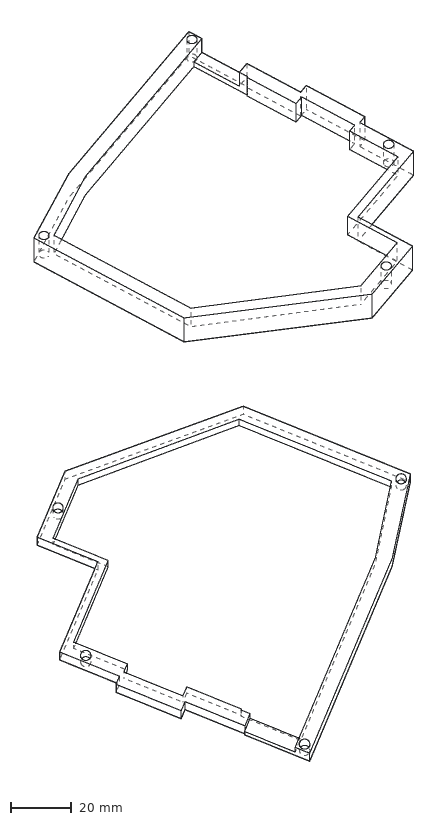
import cadquery as cq

length = 110.61
depth = 102.36
height = 13.0

floor_thickness = 3.0

front_left_x = 5.3
front_right_x = 64.8
left_bend_y = 28.5
right_bend_y = 42.6
corner_step_x = 89.0
corner_step_y = 66.6
back_y = 99.4
back_recess = 0.35
recessed_back_y = back_y - back_recess
bump_left_x = 44.5
bump_right_x = 67.7

side_wall = 5.2
back_wall = 4.8
front_wall = 4.6
right_wall = 5.0
step_side_wall = 3.0
step_back_wall = 1.7

cavity_front_left_x = 10.2
cavity_front_right_x = 64.4
cavity_left_bend_y = 30.5
cavity_right_bend_y = 43.4
cavity_recess_x = 26.4
cavity_bump_left_x = 45.9
cavity_bump_right_x = 66.9

notch_right_x = 23.2
sill_height = 5.5

hole_diameter = 3.4
hole_centers = [
    (2.7, 97.2),
    (80.6, 97.2),
    (108.0, 54.9),
    (7.5, 2.7),
]


def make_body():
    """Solid block; the back edge steps in beyond the notch and out again at the bump."""
    outline = [
        (0, left_bend_y),
        (front_left_x, 0),
        (front_right_x, 0),
        (length, right_bend_y),
        (length, corner_step_y),
        (corner_step_x, corner_step_y),
        (corner_step_x, back_y),
        (bump_right_x, back_y),
        (bump_right_x, depth),
        (bump_left_x, depth),
        (bump_left_x, recessed_back_y),
        (notch_right_x, recessed_back_y),
        (notch_right_x, back_y),
        (0, back_y),
    ]
    return cq.Workplane("XY").polyline(outline).close().extrude(height)


def make_cavity():
    """Open-topped interior that follows the outer outline above the floor."""
    cavity_right_x = length - right_wall
    cavity_step_x = corner_step_x - step_side_wall
    cavity_step_y = corner_step_y - step_back_wall
    cavity_back_y = back_y - back_wall
    outline = [
        (side_wall, cavity_left_bend_y),
        (cavity_front_left_x, front_wall),
        (cavity_front_right_x, front_wall),
        (cavity_right_x, cavity_right_bend_y),
        (cavity_right_x, cavity_step_y),
        (cavity_step_x, cavity_step_y),
        (cavity_step_x, cavity_back_y),
        (cavity_bump_right_x, cavity_back_y),
        (cavity_bump_right_x, depth - back_wall),
        (cavity_bump_left_x, depth - back_wall),
        (cavity_bump_left_x, recessed_back_y - back_wall),
        (cavity_recess_x, recessed_back_y - back_wall),
        (cavity_recess_x, cavity_back_y),
        (side_wall, cavity_back_y),
    ]
    floor = cq.Workplane("XY").workplane(offset=floor_thickness)
    return floor.polyline(outline).close().extrude(height - floor_thickness)


def make_notch():
    """Opening in the back wall, from the left wall to the recessed stretch, above a low sill."""
    width = notch_right_x - side_wall
    opening = cq.Workplane("XY").box(width, back_wall, height - sill_height, centered=False)
    return opening.translate((side_wall, back_y - back_wall, sill_height))


def make_screw_holes():
    """Blind vertical holes from the wall tops down to the floor level."""
    floor = cq.Workplane("XY").workplane(offset=floor_thickness)
    holes = floor.pushPoints(hole_centers).circle(hole_diameter / 2)
    return holes.extrude(height - floor_thickness)


result = make_body().cut(make_cavity()).cut(make_notch()).cut(make_screw_holes())